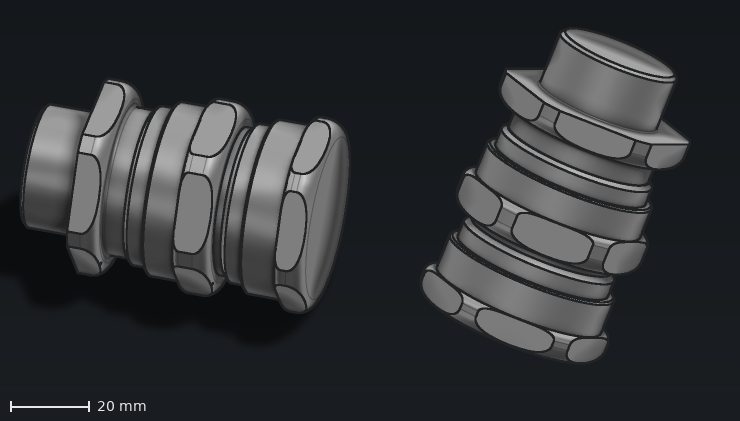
import cadquery as cq
import math

entry_hex_start = 15.1
entry_hex_end = 22.5
ring_1_start = 28.3
sleeve_1_start = 33.9
nut_1_start = 42.45
nut_1_end = 52.0
ring_2_start = 53.9
sleeve_2_start = 59.75
nut_2_start = 69.3
nut_2_end = 76.9

spigot_diameter = 32.0
neck_diameter = 38.4
ring_diameter = 41.3
sleeve_diameter = 45.15
hex_across_flats = 46.0
hex_corner_diameter = 50.45
flat_turn = 30

spigot_chamfer = 1.0
ring_1_chamfer = 1.2
ring_2_chamfer = (ring_diameter - neck_diameter) / 2
sleeve_chamfer = 0.5

spigot_root_radius = 0.45
neck_root_radius = 0.85
hex_front_radius = 4.0
hex_back_radius = 1.9
nut_2_front_radius = 4.15


def cylinder(start, end, diameter):
    """Round bar on the X axis between two stations."""
    return cq.Workplane("YZ", origin=(start, 0, 0)).circle(diameter / 2).extrude(end - start)


def chamfered_cylinder(start, end, diameter, chamfer):
    """Round bar with a 45 degree chamfer on its -X end."""
    return cylinder(start, end, diameter).faces("<X").edges().chamfer(chamfer)


def root_fillet(face_x, bar_diameter, radius, side):
    """Concave blend from a flat face to a bar that leaves it towards +X (side 1) or -X (side -1)."""
    bar_radius = bar_diameter / 2
    arc_sag = radius * (1 - math.sqrt(0.5))
    return (
        cq.Workplane("XY")
        .moveTo(face_x, 0)
        .lineTo(face_x, bar_radius + radius)
        .threePointArc(
            (face_x + side * arc_sag, bar_radius + arc_sag),
            (face_x + side * radius, bar_radius),
        )
        .lineTo(face_x + side * radius, 0)
        .close()
        .revolve(360, (0, 0, 0), (1, 0, 0))
    )


def hexagon(start, end, front_radius, back_radius=0):
    """Hexagon with flats on +Z and -Z, cut from a round blank with rounded end edges."""
    blank = cylinder(start, end, hex_corner_diameter).faces(">X").edges().fillet(front_radius)
    if back_radius > 0:
        blank = blank.faces("<X").edges().fillet(back_radius)
    prism = (
        cq.Workplane("YZ", origin=(start, 0, 0))
        .polygon(6, hex_across_flats, circumscribed=True)
        .extrude(end - start)
    )
    return blank.intersect(prism.rotate((0, 0, 0), (1, 0, 0), flat_turn))


def make_entry_body():
    """Spigot, hexagon and neck in one piece, with blended roots on both hexagon faces."""
    spigot = chamfered_cylinder(0, entry_hex_start, spigot_diameter, spigot_chamfer)
    neck = cylinder(entry_hex_end, ring_1_start, neck_diameter)
    return (
        hexagon(entry_hex_start, entry_hex_end, hex_front_radius)
        .union(spigot)
        .union(root_fillet(entry_hex_start, spigot_diameter, spigot_root_radius, -1))
        .union(neck)
        .union(root_fillet(entry_hex_end, neck_diameter, neck_root_radius, 1))
    )


def make_ring(start, end, chamfer):
    """Chamfered shoulder ring between a neck and a sleeve."""
    return chamfered_cylinder(start, end, ring_diameter, chamfer)


def make_sleeve(start, end):
    """Plain round sleeve behind a nut."""
    return chamfered_cylinder(start, end, sleeve_diameter, sleeve_chamfer)


def make_nut(start, end, front_radius):
    """Hexagonal nut rounded at both ends."""
    return hexagon(start, end, front_radius, hex_back_radius)


entry_body = make_entry_body()
middle_neck = cylinder(nut_1_end, ring_2_start, neck_diameter)

rings = [
    make_ring(start, end, chamfer)
    for start, end, chamfer in [
        (ring_1_start, sleeve_1_start, ring_1_chamfer),
        (ring_2_start, sleeve_2_start, ring_2_chamfer),
    ]
]

sleeves = [
    make_sleeve(start, end)
    for start, end in [(sleeve_1_start, nut_1_start), (sleeve_2_start, nut_2_start)]
]

nuts = [
    make_nut(start, end, front_radius)
    for start, end, front_radius in [
        (nut_1_start, nut_1_end, hex_front_radius),
        (nut_2_start, nut_2_end, nut_2_front_radius),
    ]
]

result = cq.Compound.makeCompound(
    [body.solids().val() for body in [entry_body, middle_neck, *rings, *sleeves, *nuts]]
)